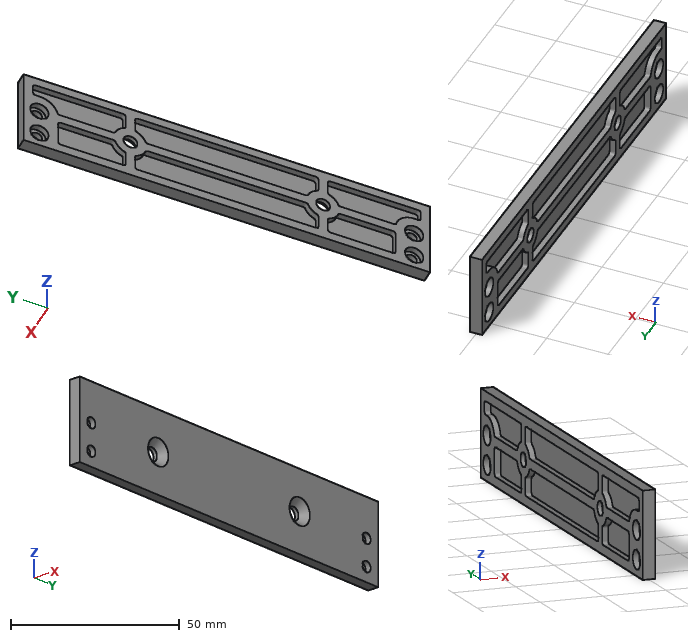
import cadquery as cq

THICKNESS = 4.0
LENGTH = 133.0
HEIGHT = 27.4

POCKET_DEPTH = 2.0
RIB_WIDTH = 3.0
BORDER_WIDTH = 3.0
POCKET_CORNER_RADIUS = 0.9

MOUNT_HOLE_DIAMETER = 4.5
MOUNT_HOLE_Y = 31.5
COUNTERSINK_DIAMETER = 9.0
COUNTERSINK_DEPTH = 2.5
MOUNT_BOSS_RADIUS = 5.3

SCREW_HOLE_DIAMETER = 3.6
COUNTERBORE_DIAMETER = 6.0
COUNTERBORE_DEPTH = 2.0
SCREW_END_DISTANCE = 5.2
SCREW_UPPER_Z = 0.4
SCREW_SPACING = 9.0
SCREW_BOSS_RADIUS = 6.1

OUTER_FACE_X = -THICKNESS / 2
SCREW_Y = LENGTH / 2 - SCREW_END_DISTANCE
SCREW_LOWER_Z = SCREW_UPPER_Z - SCREW_SPACING

POCKET_OUTER_Z = HEIGHT / 2 - BORDER_WIDTH
POCKET_INNER_Z = RIB_WIDTH / 2
POCKET_END_Y = LENGTH / 2 - BORDER_WIDTH
CENTRE_POCKET_Y = MOUNT_HOLE_Y - RIB_WIDTH / 2
END_POCKET_Y = MOUNT_HOLE_Y + RIB_WIDTH / 2
LOWER_POCKET_END_Y = SCREW_Y - SCREW_BOSS_RADIUS
SCREW_BOSS_TOP_Z = SCREW_UPPER_Z + SCREW_BOSS_RADIUS


def block(y_start, y_end, z_start, z_end):
    """Box of pocket depth, sunk into the -X face between the given Y and Z limits."""
    return cq.Workplane("XY").box(
        POCKET_DEPTH, y_end - y_start, z_end - z_start, centered=False
    ).translate((OUTER_FACE_X, y_start, z_start))


def cylinder(diameter, depth, y, z):
    """Cylinder along X that reaches the given depth below the -X face."""
    return (
        cq.Workplane("YZ", origin=(OUTER_FACE_X, y, z))
        .circle(diameter / 2)
        .extrude(depth)
    )


def countersink(y):
    """Cone that narrows from the +X face to the mounting hole."""
    return (
        cq.Workplane("YZ", origin=(THICKNESS / 2 - COUNTERSINK_DEPTH, y, 0))
        .circle(MOUNT_HOLE_DIAMETER / 2)
        .workplane(offset=COUNTERSINK_DEPTH)
        .circle(COUNTERSINK_DIAMETER / 2)
        .loft()
    )


def mount_boss(y):
    """Round boss that the pockets leave standing around a mounting hole."""
    return cylinder(2 * MOUNT_BOSS_RADIUS, POCKET_DEPTH, y, 0)


def round_corners(pocket):
    """Round the pocket's corners, leaving its floor edges sharp."""
    return pocket.edges("|X").fillet(POCKET_CORNER_RADIUS)


def centre_pocket(z_start, z_end):
    """Pocket between the two mounting holes."""
    pocket = block(-CENTRE_POCKET_Y, CENTRE_POCKET_Y, z_start, z_end)
    for y in (-MOUNT_HOLE_Y, MOUNT_HOLE_Y):
        pocket = pocket.cut(mount_boss(y))
    return round_corners(pocket)


def lower_end_pocket():
    """Pocket on the +Y side that stops short of the screw holes."""
    pocket = block(END_POCKET_Y, LOWER_POCKET_END_Y, -POCKET_OUTER_Z, -POCKET_INNER_Z)
    return round_corners(pocket.cut(mount_boss(MOUNT_HOLE_Y)))


def upper_end_pocket():
    """Pocket on the +Y side that curves over the upper screw hole."""
    pocket = block(END_POCKET_Y, POCKET_END_Y, POCKET_INNER_Z, POCKET_OUTER_Z)
    beside_screw = block(SCREW_Y, POCKET_END_Y, POCKET_INNER_Z, SCREW_BOSS_TOP_Z)
    screw_boss = cylinder(2 * SCREW_BOSS_RADIUS, POCKET_DEPTH, SCREW_Y, SCREW_UPPER_Z)
    pocket = pocket.cut(beside_screw).cut(screw_boss).cut(mount_boss(MOUNT_HOLE_Y))
    tangent_edge = cq.selectors.BoxSelector(
        (-THICKNESS, SCREW_Y - POCKET_CORNER_RADIUS, 0),
        (THICKNESS, SCREW_Y + POCKET_CORNER_RADIUS, POCKET_OUTER_Z),
    )
    all_corners = cq.selectors.ParallelDirSelector(cq.Vector(1, 0, 0))
    sharp_corners = cq.selectors.SubtractSelector(all_corners, tangent_edge)
    return pocket.edges(sharp_corners).fillet(POCKET_CORNER_RADIUS)


plate = cq.Workplane("XY").box(THICKNESS, LENGTH, HEIGHT)

plate = plate.cut(centre_pocket(POCKET_INNER_Z, POCKET_OUTER_Z))
plate = plate.cut(centre_pocket(-POCKET_OUTER_Z, -POCKET_INNER_Z))
for end_pocket in (lower_end_pocket(), upper_end_pocket()):
    plate = plate.cut(end_pocket).cut(end_pocket.mirror("XZ"))

for side in (-1, 1):
    plate = plate.cut(cylinder(MOUNT_HOLE_DIAMETER, THICKNESS, side * MOUNT_HOLE_Y, 0))
    plate = plate.cut(countersink(side * MOUNT_HOLE_Y))
    for z in (SCREW_UPPER_Z, SCREW_LOWER_Z):
        plate = plate.cut(cylinder(SCREW_HOLE_DIAMETER, THICKNESS, side * SCREW_Y, z))
        plate = plate.cut(cylinder(COUNTERBORE_DIAMETER, COUNTERBORE_DEPTH, side * SCREW_Y, z))

result = plate